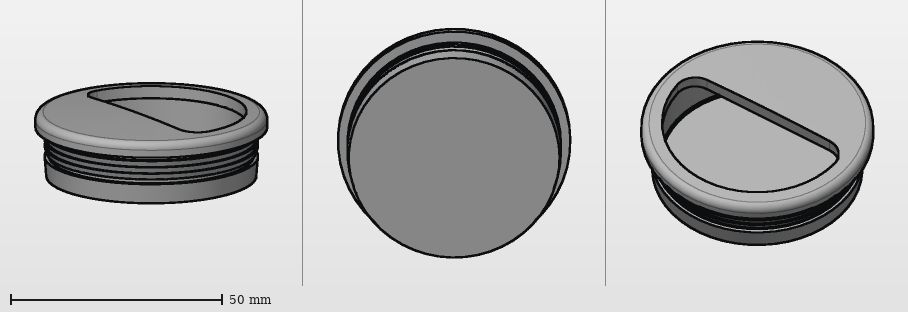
import cadquery as cq
import math

dome_rim_z = 15.6
pocket_edge_z = 16.3
flange_bottom_z = 11.95
barb_top_z = 10.45
barb_pitch = 1.55
barb_count = 3
skirt_top_z = 4.8
lid_underside_z = 12.75
ledge_z = 2.85
floor_z = 2.25

flange_radius = 27.5
edge_rounding = 1.85
neck_radius = 48.5 / 2
rib_radius = 25.3
barb_root_radius = 24.8
skirt_base_radius = 24.9
cavity_radius = 46.1 / 2
recess_radius = 22.75

opening_radius = 22.55
opening_edge_y = -4.55
opening_corner_radius = 4.95

dome_rim_radius = flange_radius - edge_rounding
edge_rise = pocket_edge_z - dome_rim_z
dome_center_z = (
    pocket_edge_z**2 + opening_edge_y**2 - dome_rim_z**2 - dome_rim_radius**2
) / (2 * edge_rise)
dome_radius = math.hypot(dome_rim_radius, dome_rim_z - dome_center_z)
apex_z = dome_center_z + dome_radius
dome_mid_radius = dome_rim_radius / 2
dome_mid_z = dome_center_z + math.sqrt(dome_radius**2 - dome_mid_radius**2)


def make_body():
    """Revolve the outer profile: skirt, barbs, neck, flange and dome."""
    profile = (
        cq.Workplane("XZ")
        .lineTo(skirt_base_radius, 0)
        .lineTo(rib_radius, skirt_top_z)
        .lineTo(neck_radius, skirt_top_z)
    )
    lowest_barb_z = barb_top_z - barb_count * barb_pitch
    profile = profile.lineTo(neck_radius, lowest_barb_z)
    for i in reversed(range(barb_count)):
        crest_z = barb_top_z - i * barb_pitch
        root_z = crest_z - barb_pitch
        profile = profile.lineTo(barb_root_radius, root_z).lineTo(rib_radius, crest_z)
    rounding_z = dome_rim_z - edge_rounding
    diagonal = edge_rounding * math.sqrt(0.5)
    profile = (
        profile.lineTo(neck_radius, barb_top_z)
        .lineTo(neck_radius, flange_bottom_z)
        .lineTo(flange_radius, flange_bottom_z)
        .lineTo(flange_radius, rounding_z)
        .threePointArc(
            (dome_rim_radius + diagonal, rounding_z + diagonal),
            (dome_rim_radius, dome_rim_z),
        )
        .threePointArc((dome_mid_radius, dome_mid_z), (0, apex_z))
        .close()
    )
    return profile.revolve(360, (0, 0, 0), (0, 1, 0))


def make_cavity():
    """Round chamber below the lid with a slightly narrower recess at its floor."""
    recess = (
        cq.Workplane("XY")
        .workplane(offset=floor_z)
        .circle(recess_radius)
        .extrude(ledge_z - floor_z)
    )
    chamber = (
        cq.Workplane("XY")
        .workplane(offset=ledge_z)
        .circle(cavity_radius)
        .extrude(lid_underside_z - ledge_z)
    )
    return recess.union(chamber)


def make_opening():
    """D-shaped cutter with rounded corners, reaching through the lid."""
    height = apex_z - ledge_z
    half_width = math.sqrt(opening_radius**2 - opening_edge_y**2)
    return (
        cq.Workplane("XY")
        .workplane(offset=ledge_z)
        .moveTo(-half_width, opening_edge_y)
        .lineTo(half_width, opening_edge_y)
        .threePointArc((0, opening_radius), (-half_width, opening_edge_y))
        .close()
        .extrude(height)
        .edges("|Z")
        .fillet(opening_corner_radius)
    )


result = make_body().cut(make_cavity()).cut(make_opening())